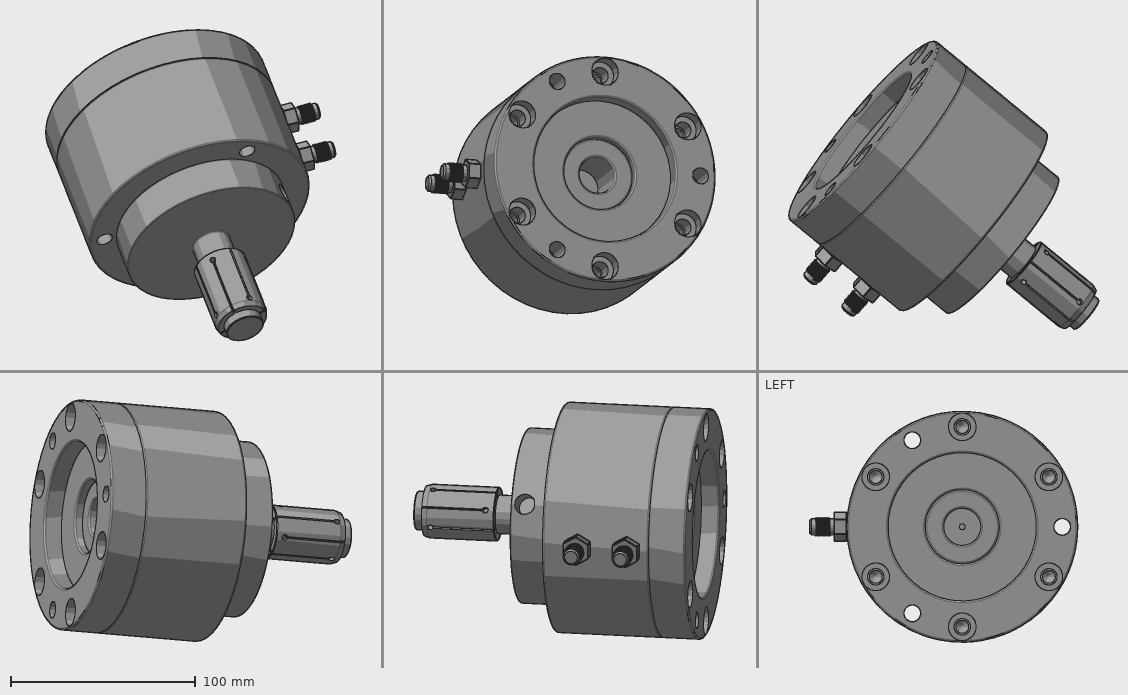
import cadquery as cq
import math


overall_length = 159.0
housing_radius = 62.5
edge_fillet = 1.0
fine_fillet = 0.5
fine_chamfer = 0.5
edge_margin = 0.2

plate_thickness = 20.0
recess_radius = 40.0
recess_depth = 10.0

bolt_circle_radius = 54.0
bolt_hole_diameter = 8.9
counterbore_diameter = 15.0
counterbore_depth = 8.9
tapped_hole_diameter = 7.0
tapped_hole_depth = 20.0
drill_point_angle = 118.0
screw_angles = [30.0 + 60.0 * i for i in range(6)]
through_hole_angles = [60.0 + 120.0 * i for i in range(3)]

cylinder_end = 78.5

hub_radius = 20.0
hub_start = 14.3
spindle_bore_radius = 10.0
spindle_bore_depth = 31.8
center_hole_diameter = 3.2
center_hole_depth = 5.0
flange_radius = 47.5
flange_end = 99.0
shaft_radius = 10.5
port_diameter = 11.0
port_depth = 15.0
port_center_x = 91.6
port_angle = 22.5

sleeve_radius = 14.6
sleeve_start = 114.0
sleeve_end = 154.0
sleeve_nose_length = 3.0
sleeve_nose_drop = 1.0
slit_width = 1.0
slit_hole_diameter = 3.0
slit_hole_inset = 5.0
slits_per_end = 4
first_front_slit_angle = 67.5
first_rear_slit_angle = 22.5

fitting_positions_x = [32.0, 59.0]
fitting_tip_y = 82.5
hex_across_flats = 14.0
hex_height = 6.8
hex_edge_break = 0.3
shank_radius = 4.5
tip_chamfer = 1.0
thread_radius = 5.1
thread_pitch = 0.99
thread_start_y = 71.4
thread_end_y = 79.5
thread_root_overlap = 0.2
thread_half_base = 0.45 * thread_pitch


def x_cylinder(radius, start, end):
    """Cylinder on the main axis between two X positions."""
    return cq.Workplane("YZ").workplane(offset=start).circle(radius).extrude(end - start)


def hole_pattern(diameter, start, end, angles):
    """Cylinders along X, spread over the bolt circle."""
    centers = [
        (bolt_circle_radius * math.cos(math.radians(a)), bolt_circle_radius * math.sin(math.radians(a)))
        for a in angles
    ]
    plane = cq.Workplane("YZ").workplane(offset=start)
    return plane.pushPoints(centers).circle(diameter / 2).extrude(end - start)


def turned(profile):
    """Solid of revolution about the main axis from (X, radius) points."""
    return cq.Workplane("XY").polyline(profile).close().revolve(360, (0, 0, 0), (1, 0, 0))


def circle_at(x, radius):
    """Selector for the circular edges at one X position, up to the given radius."""
    reach = radius + edge_margin
    return cq.selectors.BoxSelector(
        (x - edge_margin, -reach, -reach), (x + edge_margin, reach, reach), boundingbox=True
    )


def make_plate():
    plate = x_cylinder(housing_radius, 0, plate_thickness).cut(x_cylinder(recess_radius, 0, recess_depth))
    plate = plate.faces("<X").edges().fillet(edge_fillet)
    plate = plate.cut(x_cylinder(hub_radius, recess_depth, plate_thickness))
    plate = plate.edges(circle_at(recess_depth, hub_radius)).fillet(edge_fillet)
    plate = plate.cut(hole_pattern(counterbore_diameter, 0, counterbore_depth, screw_angles))
    return plate.cut(hole_pattern(bolt_hole_diameter, 0, plate_thickness, screw_angles + through_hole_angles))


def tapped_hole(angle):
    """Drilled screw hole with a conical bottom, entering the cylinder from its plate side."""
    radius = tapped_hole_diameter / 2
    tip_length = radius / math.tan(math.radians(drill_point_angle / 2))
    straight_end = plate_thickness + tapped_hole_depth
    hole = turned(
        [
            (plate_thickness, 0),
            (plate_thickness, radius),
            (straight_end, radius),
            (straight_end + tip_length, 0),
        ]
    )
    return hole.translate((0, bolt_circle_radius, 0)).rotate((0, 0, 0), (1, 0, 0), angle)


def make_cylinder():
    cylinder = x_cylinder(housing_radius, plate_thickness, cylinder_end).edges().fillet(edge_fillet)
    cylinder = cylinder.cut(x_cylinder(hub_radius, plate_thickness, cylinder_end))
    through_holes = hole_pattern(bolt_hole_diameter, plate_thickness, cylinder_end, through_hole_angles)
    cylinder = cylinder.cut(through_holes)
    for angle in screw_angles:
        cylinder = cylinder.cut(tapped_hole(angle))
    return cylinder


def make_spindle():
    bore_end = hub_start + spindle_bore_depth
    bore = x_cylinder(spindle_bore_radius, hub_start, bore_end)
    hub = x_cylinder(hub_radius, hub_start, cylinder_end).cut(bore)
    hub = hub.faces("<X").edges().fillet(edge_fillet)
    flange = x_cylinder(flange_radius, cylinder_end, flange_end)
    flange = flange.faces("<X").edges().fillet(edge_fillet).faces(">X").edges().fillet(fine_fillet)
    shaft = x_cylinder(shaft_radius, flange_end, overall_length).faces(">X").chamfer(fine_chamfer)
    spindle = hub.union(flange).union(shaft)
    spindle = spindle.edges(circle_at(flange_end, shaft_radius)).fillet(fine_fillet)
    spindle = spindle.cut(x_cylinder(center_hole_diameter / 2, bore_end, bore_end + center_hole_depth))

    port = (
        cq.Workplane("XZ", origin=(port_center_x, flange_radius - port_depth, 0))
        .circle(port_diameter / 2)
        .extrude(-2 * port_depth)
        .rotate((0, 0, 0), (1, 0, 0), port_angle)
    )
    return spindle.cut(port)


def sleeve_slit(angle, hole_x, open_end_x):
    """Radial slit from one sleeve end to a round relief hole; the angle runs from -Y toward +Z."""
    slit = cq.Workplane("XZ").center((hole_x + open_end_x) / 2, 0)
    slit = slit.rect(abs(open_end_x - hole_x), slit_width).extrude(2 * sleeve_radius)
    relief = cq.Workplane("XZ").center(hole_x, 0).circle(slit_hole_diameter / 2).extrude(2 * sleeve_radius)
    return slit.union(relief).rotate((0, 0, 0), (1, 0, 0), -angle)


def make_sleeve():
    nose_start = sleeve_end - sleeve_nose_length
    sleeve = turned(
        [
            (sleeve_start, shaft_radius),
            (sleeve_start, sleeve_radius - fine_chamfer),
            (sleeve_start + fine_chamfer, sleeve_radius),
            (nose_start, sleeve_radius),
            (sleeve_end, sleeve_radius - sleeve_nose_drop),
            (sleeve_end, shaft_radius),
        ]
    )
    rear_hole_x = sleeve_start + slit_hole_inset
    front_hole_x = sleeve_end - slit_hole_inset
    for i in range(slits_per_end):
        turn = i * 360 / slits_per_end
        sleeve = sleeve.cut(sleeve_slit(first_front_slit_angle + turn, rear_hole_x, sleeve_end))
        sleeve = sleeve.cut(sleeve_slit(first_rear_slit_angle + turn, front_hole_x, sleeve_start))
    return sleeve


def make_thread():
    """Helical ridge around the Z axis, starting at Z = 0, slightly sunk into the shank."""
    root_radius = shank_radius - thread_root_overlap
    helix = cq.Wire.makeHelix(thread_pitch, thread_end_y - thread_start_y, root_radius)
    return (
        cq.Workplane("XZ")
        .moveTo(root_radius, -thread_half_base)
        .lineTo(thread_radius, 0)
        .lineTo(root_radius, thread_half_base)
        .close()
        .sweep(cq.Workplane(obj=helix), isFrenet=True)
    )


def make_fitting(x):
    """Hexagon resting on the housing, with a threaded shank pointing along +Y."""
    hexagon = (
        cq.Workplane("XY")
        .polygon(6, hex_across_flats, circumscribed=True)
        .extrude(hex_height)
        .edges()
        .chamfer(hex_edge_break)
    )
    shank_length = fitting_tip_y - housing_radius - hex_height
    shank = cq.Workplane("XY").workplane(offset=hex_height).circle(shank_radius).extrude(shank_length)
    shank = shank.faces(">Z").chamfer(tip_chamfer)
    thread = make_thread().translate((0, 0, thread_start_y - housing_radius))
    fitting = hexagon.union(shank).union(thread)
    return fitting.rotate((0, 0, 0), (1, 0, 0), -90).translate((x, housing_radius, 0))


plate = make_plate()
cylinder = make_cylinder()
spindle = make_spindle()
sleeve = make_sleeve()
fittings = [make_fitting(x) for x in fitting_positions_x]

result = cq.Compound.makeCompound(
    [plate.val(), cylinder.val(), spindle.val(), sleeve.val(), *[fitting.val() for fitting in fittings]]
)